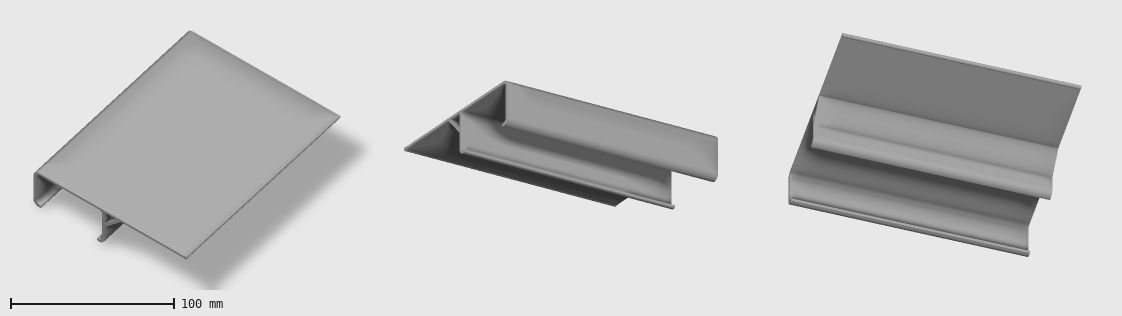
import cadquery as cq
import math

length = 152.4
width = 119.5
height = 30.6

plate_thickness = 1.8
bead_diameter = 2.6
bead_center_x = width - bead_diameter / 2
bead_center_z = height - bead_diameter / 2
plate_top = bead_center_z + plate_thickness / 2
plate_bottom = plate_top - plate_thickness

outer_leg_thickness = 2.2
inner_leg_thickness = 1.8
inner_leg_outer_face = 55.5
outer_bend_radius = 4.4
inside_bend_radius = outer_bend_radius - inner_leg_thickness

lip_thickness = 2.2
outer_lip_reach = 6.2
inner_lip_reach = 6.0
lip_tip_radius = 1.0

brace_thickness = 2.0
brace_reach = 12.8


def rounded_bar(corners):
    """Extrude a closed outline of (x, z, bend radius) corners along Y, centred on Y = 0."""
    points = [cq.Vector(x, z) for x, z, _ in corners]
    outline = cq.Workplane("XZ", origin=(0, length / 2, 0)).moveTo(points[0].x, points[0].y)
    for index in range(1, len(points)):
        corner = points[index]
        radius = corners[index][2]
        if radius == 0:
            outline = outline.lineTo(corner.x, corner.y)
            continue
        to_previous = (points[index - 1] - corner).normalized()
        to_next = (points[(index + 1) % len(points)] - corner).normalized()
        half_angle = to_previous.getAngle(to_next) / 2
        setback = radius / math.tan(half_angle)
        arc_depth = radius / math.sin(half_angle) - radius
        arc_start = corner + to_previous * setback
        arc_middle = corner + (to_previous + to_next).normalized() * arc_depth
        arc_end = corner + to_next * setback
        outline = outline.lineTo(arc_start.x, arc_start.y)
        outline = outline.threePointArc((arc_middle.x, arc_middle.y), (arc_end.x, arc_end.y))
    return outline.close().extrude(length)


def make_cover():
    """Plate, outer leg and its lip as one bent strip."""
    return rounded_bar([
        (bead_center_x, plate_top, 0),
        (0, plate_top, outer_bend_radius),
        (0, 0, outer_bend_radius),
        (outer_lip_reach, 0, lip_tip_radius),
        (outer_lip_reach, lip_thickness, lip_tip_radius),
        (outer_leg_thickness, lip_thickness, inside_bend_radius),
        (outer_leg_thickness, plate_bottom, inside_bend_radius),
        (bead_center_x, plate_bottom, 0),
    ])


def make_inner_leg():
    """Leg under the plate, with a lip turned toward the outer leg."""
    inner_face = inner_leg_outer_face - inner_leg_thickness
    root_end = inner_face - inside_bend_radius - plate_thickness
    lip_tip = inner_leg_outer_face - inner_lip_reach
    return rounded_bar([
        (inner_leg_outer_face, plate_top, 0),
        (inner_leg_outer_face, 0, outer_bend_radius),
        (lip_tip, 0, lip_tip_radius),
        (lip_tip, lip_thickness, lip_tip_radius),
        (inner_face, lip_thickness, inside_bend_radius),
        (inner_face, plate_bottom, inside_bend_radius),
        (root_end, plate_bottom, 0),
        (root_end, plate_top, 0),
    ])


def make_brace():
    """Diagonal web from the inner leg's outer face up to the underside of the plate."""
    inner_reach = brace_reach - brace_thickness * math.sqrt(2)
    return rounded_bar([
        (inner_leg_outer_face, plate_bottom - brace_reach, 0),
        (inner_leg_outer_face + brace_reach, plate_bottom, 0),
        (inner_leg_outer_face + inner_reach, plate_bottom, 0),
        (inner_leg_outer_face, plate_bottom - inner_reach, 0),
    ])


def make_bead():
    """Round bead along the free edge of the plate."""
    return (
        cq.Workplane("XZ", origin=(0, length / 2, 0))
        .center(bead_center_x, bead_center_z)
        .circle(bead_diameter / 2)
        .extrude(length)
    )


result = make_cover().union(make_inner_leg()).union(make_brace()).union(make_bead())